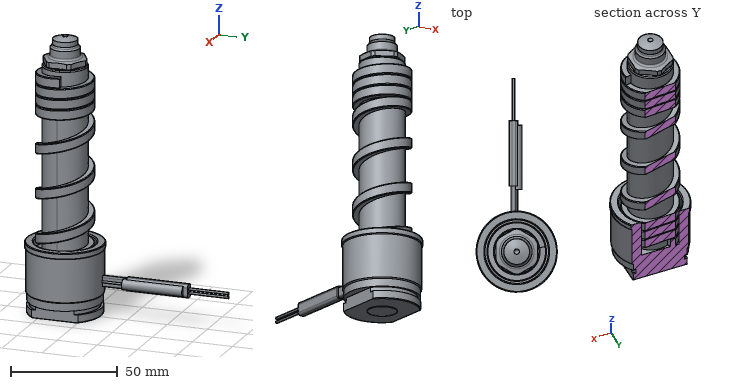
import cadquery as cq
import math

total_height = 136.2

boss_radius = 7.1
boss_height = 0.4
foot_radius = 18.1
foot_chamfer = 0.4
foot_top = 4.4
foot_groove_radius = 16.9
foot_flat_offset = 13.9

skirt_radius = 18.0
skirt_bottom = 6.5
housing_radius = 18.5
housing_bottom = 10.9
collar_radius = 19.0
collar_bottom = 32.1
collar_top = 35.3
collar_chamfer = 0.4

recess_radius = 14.8
recess_chamfer = 0.5

shaft_radius = 10.9
shaft_top = 122.3
shaft_chamfer = 0.5
neck_radius = 8.9
nut_bottom = 122.9
nut_top = 125.5
nut_across_flats = 19.3
nut_corner_radius = 10.6
flare_size = 1.0
plug_radius = 7.15
plug_bottom = 127.1
plug_top = 130.8
nut_cone_radius = plug_radius + flare_size
nut_cone_top = plug_bottom - flare_size
step_radius = 6.4
step_top = 131.6
tip_radius = 6.0
tip_bottom = 132.4
dome_base = 134.8
dome_radius = 14.3
tip_hole_radius = 1.2
tip_hole_depth = 1.2

spring_outer_radius = 13.9
spring_inner_radius = 9.5
wire_height = 5.0
wire_chamfer = 0.4
seat_depth = 0.7
close_pitch = 5.25
open_pitch = 22.0
spring_top = 119.7
top_end_angle = 10.0
close_sweep = 1146.0
transition_sweep = 140.0
open_sweep = 924.0
degrees_per_point = 10.0

lead_axis_z = 17.3
lead_root_y = 17.0
flat_lead_x = -1.5
flat_cable_width = 2.5
flat_cable_height = 5.2
flat_cable_round = 0.5
flat_sleeve_width = 4.1
flat_sleeve_height = 6.4
flat_sleeve_round = 1.2
flat_sleeve_start = 30.6
flat_sleeve_end = 61.3
wire_diameter = 1.2
wire_spacing = 1.9
wire_end = 100.0 - collar_radius
round_lead_x = 0.0
round_wire_radius = 0.5
round_sleeve_radius = 2.6
round_sleeve_start = 29.0
round_sleeve_end = 59.1

spring_sweep = 2 * close_sweep + 2 * transition_sweep + open_sweep
mean_pitch = (close_pitch + open_pitch) / 2
spring_full_drop = (
    2 * close_pitch * close_sweep
    + 2 * mean_pitch * transition_sweep
    + open_pitch * open_sweep
) / 360


def spring_drop(turned):
    """Height lost after turning this many degrees down from the top end."""
    if turned > spring_sweep / 2:
        return spring_full_drop - spring_drop(spring_sweep - turned)
    closed = min(turned, close_sweep)
    changing = min(max(turned - close_sweep, 0), transition_sweep)
    opened = max(turned - close_sweep - transition_sweep, 0)
    pitch_gain = (open_pitch - close_pitch) * changing / transition_sweep
    changing_pitch = close_pitch + pitch_gain / 2
    return (close_pitch * closed + changing_pitch * changing + open_pitch * opened) / 360


recess_floor = spring_top - spring_full_drop - wire_height + seat_depth


def make_spring():
    """Rectangular-wire spring bounded by helical faces and two flat ends."""
    point_count = int(spring_sweep / degrees_per_point)

    def corner(turned, radius, below_top):
        angle = math.radians(top_end_angle - turned)
        height = spring_top - below_top - spring_drop(turned)
        return cq.Vector(radius * math.cos(angle), radius * math.sin(angle), height)

    wire_corners = [
        (spring_inner_radius, 0),
        (spring_outer_radius - wire_chamfer, 0),
        (spring_outer_radius, wire_chamfer),
        (spring_outer_radius, wire_height - wire_chamfer),
        (spring_outer_radius - wire_chamfer, wire_height),
        (spring_inner_radius, wire_height),
    ]
    edges = []
    for radius, below_top in wire_corners:
        points = [
            corner(spring_sweep * i / point_count, radius, below_top)
            for i in range(point_count + 1)
        ]
        edges.append(cq.Edge.makeSpline(points))

    faces = [cq.Face.makeRuledSurface(edges[i - 1], edges[i]) for i in range(len(edges))]
    for turned in (0, spring_sweep):
        end_points = [corner(turned, radius, below_top) for radius, below_top in wire_corners]
        faces.append(cq.Face.makeFromWires(cq.Wire.makePolygon(end_points, close=True)))
    return cq.Workplane(cq.Solid.makeSolid(cq.Shell.makeShell(faces)))


def disc_between(z_low, z_high, radius):
    """Plain disc between two heights."""
    return cq.Workplane().workplane(offset=z_low).circle(radius).extrude(z_high - z_low)


def make_foot():
    boss = disc_between(0, boss_height, boss_radius)
    disc = disc_between(boss_height, foot_top, foot_radius).faces("<Z").chamfer(foot_chamfer)
    groove = disc_between(foot_top, skirt_bottom, foot_groove_radius)
    flats = cq.Workplane().box(
        2 * foot_flat_offset, 2 * foot_radius, skirt_bottom, centered=(True, True, False)
    )
    return boss.union(disc).union(groove).intersect(flats)


def make_housing():
    outline = [
        (0, skirt_bottom),
        (skirt_radius, skirt_bottom),
        (skirt_radius, housing_bottom - (housing_radius - skirt_radius)),
        (housing_radius, housing_bottom),
        (housing_radius, collar_bottom),
        (collar_radius, collar_bottom + collar_chamfer),
        (collar_radius, collar_top - collar_chamfer),
        (collar_radius - collar_chamfer, collar_top),
        (recess_radius + recess_chamfer, collar_top),
        (recess_radius, collar_top - recess_chamfer),
        (recess_radius, recess_floor),
        (0, recess_floor),
    ]
    return cq.Workplane("XZ").polyline(outline).close().revolve(360, (0, 0), (0, 1))


def make_shaft():
    shaft = disc_between(skirt_bottom, shaft_top, shaft_radius).faces(">Z").chamfer(shaft_chamfer)
    return shaft.union(disc_between(shaft_top, nut_bottom, neck_radius))


def make_nut():
    """Hexagon with corners toward +Y and -Y, cut round at the corners and coned on top."""
    blank = (
        cq.Workplane("XZ")
        .moveTo(0, nut_bottom)
        .lineTo(nut_corner_radius, nut_bottom)
        .lineTo(nut_corner_radius, nut_top)
        .lineTo(nut_cone_radius, nut_cone_top)
        .lineTo(0, nut_cone_top)
        .close()
        .revolve(360, (0, 0), (0, 1))
    )
    hexagon = (
        cq.Workplane()
        .workplane(offset=nut_bottom)
        .polygon(6, nut_across_flats, circumscribed=True)
        .extrude(nut_cone_top - nut_bottom)
    )
    return blank.intersect(hexagon)


def make_nose():
    return (
        cq.Workplane("XZ")
        .moveTo(0, nut_bottom)
        .lineTo(nut_cone_radius, nut_bottom)
        .lineTo(nut_cone_radius, nut_cone_top)
        .radiusArc((plug_radius, plug_bottom), flare_size)
        .lineTo(plug_radius, plug_top)
        .lineTo(step_radius, step_top)
        .lineTo(tip_radius, tip_bottom)
        .lineTo(tip_radius, dome_base)
        .radiusArc((tip_hole_radius, total_height), -dome_radius)
        .lineTo(0, total_height - tip_hole_depth)
        .close()
        .revolve(360, (0, 0), (0, 1))
    )


def along_y(y_start, x, z):
    """Workplane facing +Y at y_start, centred on (x, z)."""
    return cq.Workplane(cq.Plane((x, y_start, z), xDir=(1, 0, 0), normal=(0, 1, 0)))


def round_bar(y_start, y_end, x, z, radius):
    return along_y(y_start, x, z).circle(radius).extrude(y_end - y_start)


def flat_bar(y_start, y_end, width, height, corner):
    bar = along_y(y_start, flat_lead_x, lead_axis_z).rect(width, height).extrude(y_end - y_start)
    return bar.edges("|Y").fillet(corner)


def make_leads():
    leads = flat_bar(
        lead_root_y, flat_sleeve_end, flat_cable_width, flat_cable_height, flat_cable_round
    )
    leads = leads.union(
        flat_bar(
            flat_sleeve_start, flat_sleeve_end,
            flat_sleeve_width, flat_sleeve_height, flat_sleeve_round,
        )
    )
    for side in (-1, 1):
        wire_z = lead_axis_z + side * wire_spacing / 2
        leads = leads.union(
            round_bar(flat_sleeve_end, wire_end, flat_lead_x, wire_z, wire_diameter / 2)
        )
    leads = leads.union(
        round_bar(lead_root_y, round_sleeve_start, round_lead_x, lead_axis_z, round_wire_radius)
    )
    return leads.union(
        round_bar(
            round_sleeve_start, round_sleeve_end, round_lead_x, lead_axis_z, round_sleeve_radius
        )
    )


result = (
    make_shaft()
    .union(make_spring())
    .union(make_housing())
    .union(make_foot())
    .union(make_nut())
    .union(make_nose())
    .union(make_leads())
)